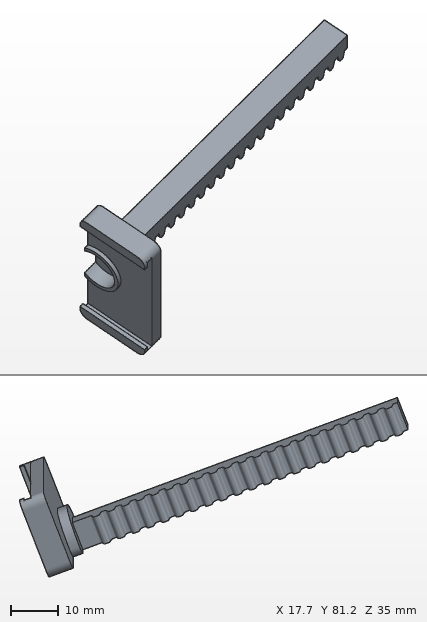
import cadquery as cq


total_length = 81.2
plate_width = 17.7
plate_height = 35.0

plate_depth = 5.4
corner_radius = 2.0
end_wall = 1.5
lip_height = 2.9
lip_thickness = 1.0
channel_width = 1.55
recess_depth = lip_thickness + channel_width

rack_width = 6.3
rack_top = 2.0
rack_root = -2.5
tooth_height = 2.2
tooth_root_width = 2.2
tooth_tip_width = 1.2
tooth_tip_radius = 0.6
tooth_root_radius = 0.3
tooth_count = 21
first_to_last_tooth = 66.1
tooth_pitch = first_to_last_tooth / (tooth_count - 1)
end_to_first_tooth = 2.0

socket_x = rack_width / 2
socket_radius = 5.0
socket_floor_gap = 0.25
rim_radius = 6.0
rim_height = 1.0

boss_width = 9.4
boss_height = 15.0
boss_thickness = 2.2
boss_outer_radius = 6.6

selection_margin = 0.01

rim_front = recess_depth - rim_height
boss_back = plate_depth + boss_thickness


def box(x_range, y_range, z_range):
    """Axis-aligned block between pairs of limits."""
    size = [high - low for low, high in (x_range, y_range, z_range)]
    corner = (x_range[0], y_range[0], z_range[0])
    return cq.Workplane("XY").box(*size, centered=False).translate(corner)


def y_cylinder(radius, y_start, y_end):
    """Cylinder along Y on the socket axis."""
    plane = cq.Workplane("XZ", origin=(socket_x, y_start, 0))
    return plane.circle(radius).extrude(y_start - y_end)


def make_plate():
    half_height = plate_height / 2
    plate = box((0, plate_width), (0, plate_depth), (-half_height, half_height))
    plate = plate.edges("|Y").fillet(corner_radius)
    opening = half_height - lip_height
    channel = half_height - end_wall
    plate = plate.cut(box((0, plate_width), (0, recess_depth), (-opening, opening)))
    return plate.cut(box((0, plate_width), (lip_thickness, recess_depth), (-channel, channel)))


def make_rim():
    rim = y_cylinder(rim_radius, rim_front, plate_depth)
    side_trim = box((socket_x - rim_radius, 0), (0, plate_depth), (-rim_radius, rim_radius))
    return rim.cut(side_trim)


def make_boss():
    half_height = boss_height / 2
    boss = box((0, boss_width), (plate_depth, boss_back), (-half_height, half_height))
    boss = boss.edges("|Y and <X").fillet(corner_radius)
    return boss.edges("|Y and >X").fillet(boss_outer_radius)


def make_rack():
    rack = box((0, rack_width), (plate_depth, total_length), (rack_root, rack_top))
    tip_z = rack_root - tooth_height
    for index in range(tooth_count):
        y = total_length - end_to_first_tooth - index * tooth_pitch
        tooth = (
            cq.Workplane("YZ")
            .moveTo(y - tooth_root_width / 2, rack_root)
            .lineTo(y - tooth_tip_width / 2, tip_z)
            .lineTo(y + tooth_tip_width / 2, tip_z)
            .lineTo(y + tooth_root_width / 2, rack_root)
            .close()
            .extrude(rack_width)
            .edges("|X and <Z")
            .fillet(tooth_tip_radius)
        )
        rack = rack.union(tooth)

    root_edges = cq.selectors.BoxSelector(
        (-selection_margin, boss_back, rack_root - selection_margin),
        (rack_width + selection_margin, total_length - selection_margin, rack_root + selection_margin),
    )
    return rack.edges("|X").edges(root_edges).fillet(tooth_root_radius)


socket = y_cylinder(socket_radius, rim_front, plate_depth - socket_floor_gap)

result = make_plate().union(make_rim()).union(make_boss()).union(make_rack()).cut(socket)